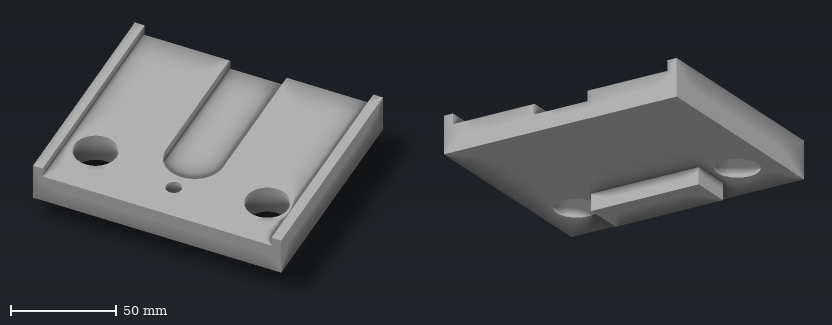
import cadquery as cq

width = 130.0
length = 115.0
total_height = 29.0
key_height = 9.0
rail_width = 5.1
rail_height = 5.0
rear_chamfer = 1.0
plate_height = total_height - key_height
floor_z = plate_height - rail_height
front_y = -length / 2
rear_y = length / 2

slot_width = 30.0
slot_depth = 6.0
slot_end_y = front_y + 27.3
slot_center_y = slot_end_y + slot_width / 2

hole_diameter = 22.0
hole_spacing = 90.0
hole_y = front_y + 27.5
key_width = 60.0
key_length = 22.0

drill_diameter = 8.0
drill_depth = 10.0
drill_y = front_y + 19.0
drill_tip_height = 2.3


def make_plate():
    """Plate with a chamfered rear floor edge between the raised side rails."""
    floor_width = width - 2 * rail_width
    plate = cq.Workplane("XY").box(width, length, plate_height, centered=(True, True, False))
    channel = (
        cq.Workplane("XY", origin=(0, 0, floor_z))
        .box(floor_width, length, rail_height, centered=(True, True, False))
    )
    edge_cut = (
        cq.Workplane("YZ", origin=(-floor_width / 2, 0, 0))
        .moveTo(rear_y, floor_z)
        .lineTo(rear_y - rear_chamfer, floor_z)
        .lineTo(rear_y, floor_z - rear_chamfer)
        .close()
        .extrude(floor_width)
    )
    return plate.cut(channel).cut(edge_cut)


def make_key():
    """Rectangular key below the plate."""
    return (
        cq.Workplane("XY", origin=(0, hole_y, -key_height))
        .box(key_width, key_length, key_height, centered=(True, True, False))
    )


def make_slot():
    """Slot cutter with a round front end."""
    half_width = slot_width / 2
    return (
        cq.Workplane("XY", origin=(0, 0, floor_z - slot_depth))
        .moveTo(-half_width, rear_y)
        .lineTo(-half_width, slot_center_y)
        .threePointArc((0, slot_end_y), (half_width, slot_center_y))
        .lineTo(half_width, rear_y)
        .close()
        .extrude(slot_depth)
    )


def make_through_holes():
    """Cutters for the two through holes."""
    return (
        cq.Workplane("XY")
        .pushPoints([(side * hole_spacing / 2, hole_y) for side in (-1, 1)])
        .circle(hole_diameter / 2)
        .extrude(plate_height)
    )


def make_drilled_hole():
    """Blind hole cutter with a conical tip."""
    radius = drill_diameter / 2
    shoulder_z = floor_z - drill_depth
    return (
        cq.Workplane("XZ", origin=(0, drill_y, 0))
        .moveTo(0, floor_z)
        .lineTo(radius, floor_z)
        .lineTo(radius, shoulder_z)
        .lineTo(0, shoulder_z - drill_tip_height)
        .close()
        .revolve(360, (0, 0, 0), (0, 1, 0))
    )


result = (
    make_plate()
    .union(make_key())
    .cut(make_slot())
    .cut(make_through_holes())
    .cut(make_drilled_hole())
)